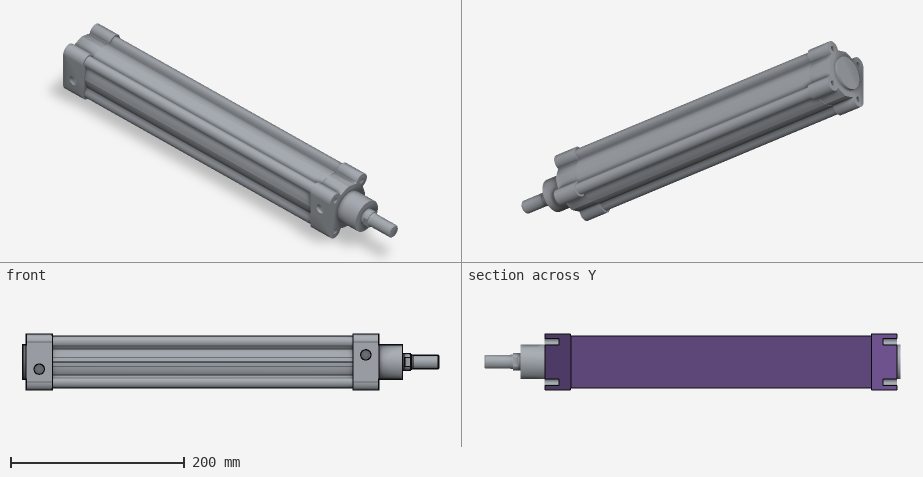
import cadquery as cq
import math


square = 65.0
bolt_pitch = 46.5
cap_length = 30.0
body_length = 406.0
barrel_square = 60.0

collar_diameter = 40.0
collar_length = 4.0
neck_length = 27.5

cap_core_radius = 28.3
cap_ridge_half_width = 8.0
cap_valley_radius = 1.5

barrel_core_radius = 29.0
barrel_ridge_half_width = 5.0
barrel_valley_radius = 1.0

bolt_hole_diameter = 6.8
bolt_hole_depth = 16.0
port_diameter = 11.8
port_depth = 15.0
port_offset = 8.25

lip_length = 1.3
rod_diameter = 20.0
rod_overhang = 36.3
wrench_width = 17.0
wrench_setback = 1.5

shoulder_land = 1.4
shoulder_taper = 1.4
thread_diameter = 16.0
thread_chamfer = 1.0
tip_overhang = 69.0

corner = bolt_pitch / 2
corner_distance = math.hypot(corner, corner)
corner_turns = (45, 135, 225, 315)
cap_lobe_radius = square / 2 - corner
barrel_lobe_radius = barrel_square / 2 - corner
bolt_points = [(y, z) for y in (-corner, corner) for z in (-corner, corner)]
barrel_end = body_length - cap_length
barrel_length = barrel_end - cap_length
neck_end = body_length + neck_length
rod_start = neck_end + lip_length
shank_end = body_length + rod_overhang
thread_end = body_length + tip_overhang


def flanked_core(start, length, radius, ridge_half_width):
    """Round bar with a low V-shaped ridge on each flank, made of two flats tangent to the round."""
    ridge_foot = math.sqrt(radius**2 - ridge_half_width**2)
    ridge_height = radius**2 / ridge_foot
    ridge_outline = [
        (0, 0),
        (-ridge_half_width, ridge_foot),
        (0, ridge_height),
        (ridge_half_width, ridge_foot),
    ]
    core = cq.Workplane("YZ", origin=(start, 0, 0)).circle(radius).extrude(length)
    for turn in (0, 90, 180, 270):
        ridge = (
            cq.Workplane("YZ", origin=(start, 0, 0))
            .polyline(ridge_outline)
            .close()
            .extrude(length)
            .rotate((0, 0, 0), (1, 0, 0), turn)
        )
        core = core.union(ridge)
    return core


def fillet_valleys(body, start, length, core_radius, valley_angle, valley_radius):
    """Round the eight valleys, which lie valley_angle to either side of the corner diagonals."""
    valleys = body.newObject([])
    for turn in corner_turns:
        for side in (-1, 1):
            angle = math.radians(turn) + side * valley_angle
            point = (start + length / 2, core_radius * math.cos(angle), core_radius * math.sin(angle))
            valleys = valleys.add(body.edges(cq.selectors.NearestToPointSelector(point)))
    return valleys.fillet(valley_radius)


def end_cap(start, bolt_face, bolt_direction, port_height):
    """End cap with a flat -Y port face, bolt holes in its outer face and one air port."""
    lobes = (
        cq.Workplane("YZ", origin=(start, 0, 0))
        .pushPoints(bolt_points)
        .circle(cap_lobe_radius)
        .extrude(cap_length)
    )
    cap = flanked_core(start, cap_length, cap_core_radius, cap_ridge_half_width).union(lobes)

    valley_cosine = (corner_distance**2 + cap_core_radius**2 - cap_lobe_radius**2) / (
        2 * corner_distance * cap_core_radius
    )
    cap = fillet_valleys(cap, start, cap_length, cap_core_radius, math.acos(valley_cosine), cap_valley_radius)

    port_wall = (
        cq.Workplane("XY", origin=(start, -square / 2, 0))
        .box(cap_length, square / 2, bolt_pitch, centered=(False, False, True))
    )
    bolt_holes = (
        cq.Workplane("YZ", origin=(bolt_face, 0, 0))
        .pushPoints(bolt_points)
        .circle(bolt_hole_diameter / 2)
        .extrude(bolt_direction * bolt_hole_depth)
    )
    port = (
        cq.Workplane("XZ", origin=(start + cap_length / 2, -square / 2, port_height))
        .circle(port_diameter / 2)
        .extrude(-port_depth)
    )
    return cap.union(port_wall).cut(bolt_holes).cut(port)


def build_barrel():
    """Barrel profile: ridged core with a rounded, parallel-sided web towards each corner."""
    barrel = flanked_core(cap_length, barrel_length, barrel_core_radius, barrel_ridge_half_width)
    for turn in corner_turns:
        web = (
            cq.Workplane("YZ", origin=(cap_length, 0, 0))
            .moveTo(0, -barrel_lobe_radius)
            .lineTo(corner_distance, -barrel_lobe_radius)
            .threePointArc(
                (corner_distance + barrel_lobe_radius, 0),
                (corner_distance, barrel_lobe_radius),
            )
            .lineTo(0, barrel_lobe_radius)
            .close()
            .extrude(barrel_length)
            .rotate((0, 0, 0), (1, 0, 0), turn)
        )
        barrel = barrel.union(web)
    valley_angle = math.asin(barrel_lobe_radius / barrel_core_radius)
    return fillet_valleys(
        barrel, cap_length, barrel_length, barrel_core_radius, valley_angle, barrel_valley_radius
    )


def build_rod():
    """Piston rod end: shank with wrench flats facing +Y and -Y, tapered shoulder, thread."""
    land_end = shank_end + shoulder_land
    thread_start = land_end + shoulder_taper
    rod_profile = [
        (rod_start, 0),
        (rod_start, rod_diameter / 2),
        (shank_end, rod_diameter / 2),
        (shank_end, wrench_width / 2),
        (land_end, wrench_width / 2),
        (thread_start, thread_diameter / 2),
        (thread_end - thread_chamfer, thread_diameter / 2),
        (thread_end, thread_diameter / 2 - thread_chamfer),
        (thread_end, 0),
    ]
    turned = cq.Workplane("XY").polyline(rod_profile).close().revolve(360, (0, 0, 0), (1, 0, 0))

    flats_start = rod_start + wrench_setback
    for side in (-1, 1):
        flat = (
            cq.Workplane("XY")
            .box(shank_end - flats_start, rod_diameter, rod_diameter, centered=(False, True, True))
            .translate((flats_start, side * (wrench_width + rod_diameter) / 2, 0))
        )
        turned = turned.cut(flat)
    return turned


collar = cq.Workplane("YZ").circle(collar_diameter / 2).extrude(-collar_length)
rear_cap = end_cap(0, 0, 1, -port_offset).union(collar)

neck = cq.Workplane("YZ", origin=(body_length, 0, 0)).circle(collar_diameter / 2).extrude(neck_length)
lip = cq.Workplane("YZ", origin=(neck_end, 0, 0)).circle(rod_diameter / 2).extrude(lip_length)
front_cap = end_cap(barrel_end, body_length, -1, port_offset).union(neck).union(lip)

barrel = build_barrel()

rod = build_rod()

result = cq.Compound.makeCompound([rear_cap.val(), barrel.val(), front_cap.val(), rod.val()])